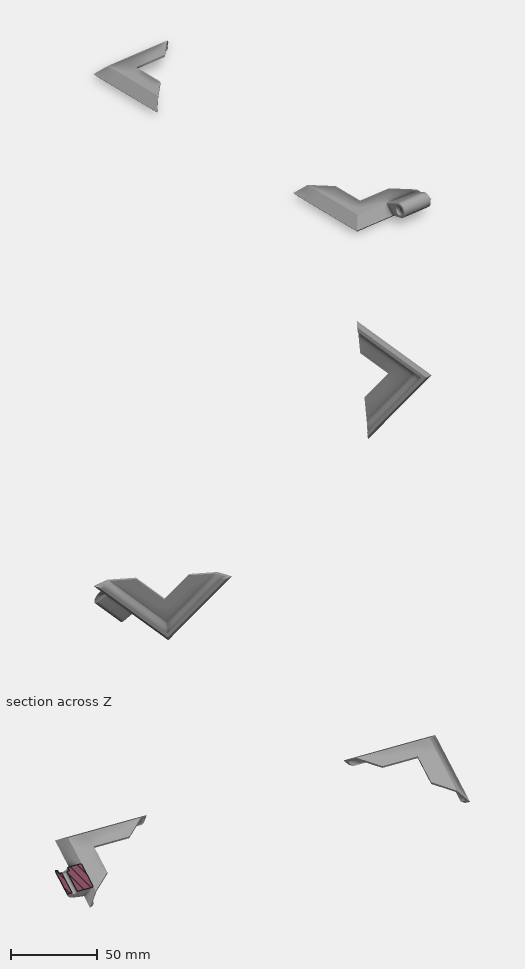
import cadquery as cq
import math

OVERALL_LENGTH = 244.8
BARREL_DIAMETER = 9.3

LEG_LENGTH = 56.5
LEG_WIDTH = 17.4
BRACKET_HEIGHT = 8.0
WALL = 1.5
LOWER_BEVEL = 2.2
UPPER_BEVEL = BRACKET_HEIGHT - LOWER_BEVEL
RIGHT_CORNER_X = 234.2

LUG_FRONT_Y = 27.2
LUG_WIDTH = 20.0
LUG_EDGE_FILLET = 0.5
BARREL_RADIUS = BARREL_DIAMETER / 2
BARREL_X = OVERALL_LENGTH - BARREL_RADIUS
BARREL_Z = BRACKET_HEIGHT
PIN_HOLE_DIAMETER = 3.0
COUNTERBORE_DIAMETER = 6.0
COUNTERBORE_DEPTH = 3.0

ARM_TOP_X = RIGHT_CORNER_X - UPPER_BEVEL
ARM_TOP_BARREL_DX = -2.0
BARREL_FLAT_END_DX = -0.5
ARM_BOTTOM_BARREL_DX = 1.0

ROOT_MIDPOINT_X = (ARM_TOP_X + RIGHT_CORNER_X) / 2
ROOT_CLEARANCE = 0.7
OUTER_EDGE_BOX = (
    (ROOT_MIDPOINT_X + ROOT_CLEARANCE, 0, 0),
    (OVERALL_LENGTH, LEG_LENGTH, BRACKET_HEIGHT + BARREL_DIAMETER),
)


def make_bracket():
    """L-shaped folded shell with its outer corner at the origin and mitred leg ends."""
    slanted_wall = WALL * math.sqrt(2)
    profile = [
        (LOWER_BEVEL, 0),
        (0, LOWER_BEVEL),
        (UPPER_BEVEL, BRACKET_HEIGHT),
        (LEG_WIDTH, BRACKET_HEIGHT),
        (LEG_WIDTH, BRACKET_HEIGHT - WALL),
        (UPPER_BEVEL - WALL + slanted_wall, BRACKET_HEIGHT - WALL),
        (slanted_wall, LOWER_BEVEL),
        (LOWER_BEVEL + slanted_wall, 0),
    ]
    mitred_plan = [
        (0, 0),
        (LEG_LENGTH, 0),
        (LEG_LENGTH - LEG_WIDTH, LEG_WIDTH),
        (LEG_WIDTH, LEG_WIDTH),
    ]
    mitred_block = cq.Workplane("XY").polyline(mitred_plan).close().extrude(BRACKET_HEIGHT)
    front_leg = cq.Workplane("YZ").polyline(profile).close().extrude(LEG_LENGTH).intersect(mitred_block)
    side_leg = front_leg.mirror(cq.Vector(1, -1, 0))
    return front_leg.union(side_leg)


def barrel_edge_offset(dx):
    """Vertical distance from the barrel axis to its surface at horizontal offset dx."""
    return math.sqrt(BARREL_RADIUS**2 - dx**2)


def make_lug():
    """Hinge arm and barrel, seated on the bracket's upper bevel."""
    return (
        cq.Workplane("XZ", origin=(0, LUG_FRONT_Y, 0))
        .moveTo(RIGHT_CORNER_X, LOWER_BEVEL)
        .lineTo(BARREL_X + ARM_BOTTOM_BARREL_DX, BARREL_Z - barrel_edge_offset(ARM_BOTTOM_BARREL_DX))
        .threePointArc(
            (BARREL_X + BARREL_RADIUS, BARREL_Z),
            (BARREL_X + BARREL_FLAT_END_DX, BARREL_Z + barrel_edge_offset(BARREL_FLAT_END_DX)),
        )
        .lineTo(BARREL_X + ARM_TOP_BARREL_DX, BARREL_Z + barrel_edge_offset(ARM_TOP_BARREL_DX))
        .lineTo(ARM_TOP_X, BRACKET_HEIGHT)
        .close()
        .extrude(-LUG_WIDTH)
        .faces("<Y or >Y")
        .edges(cq.selectors.BoxSelector(*OUTER_EDGE_BOX))
        .fillet(LUG_EDGE_FILLET)
    )


def make_barrel_bore():
    """Pin hole through the barrel, counterbored from the front."""
    axis_start = cq.Workplane("XZ", origin=(BARREL_X, LUG_FRONT_Y, BARREL_Z))
    pin_hole = axis_start.circle(PIN_HOLE_DIAMETER / 2).extrude(-LUG_WIDTH)
    counterbore = axis_start.circle(COUNTERBORE_DIAMETER / 2).extrude(-COUNTERBORE_DEPTH)
    return pin_hole.union(counterbore)


plain_bracket = make_bracket()

hinge_bracket = (
    make_bracket()
    .mirror("YZ")
    .translate((RIGHT_CORNER_X, 0, 0))
    .union(make_lug())
    .cut(make_barrel_bore())
)

result = cq.Compound.makeCompound([plain_bracket.val(), hinge_bracket.val()])